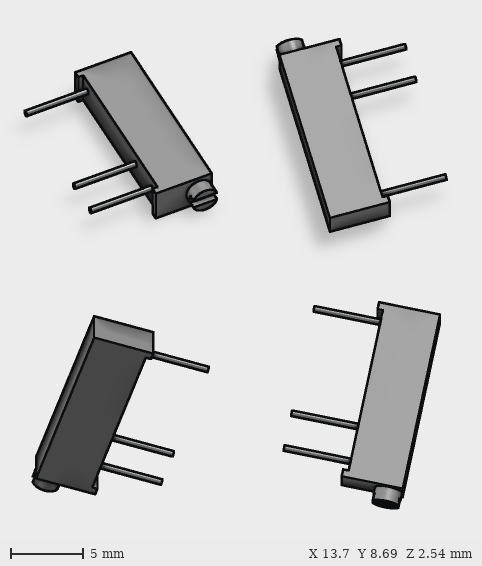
import cadquery as cq

total_length = 13.72
body_length = 12.7
body_height = 2.54
body_depth = 3.94
foot_width = 0.51
foot_height = 0.38

pin_diameter = 0.41
pin_tip_y = -4.75
pin_z = 1.52
pin_pitch = 2.54
first_pin_x = 1.14
pin_positions = [first_pin_x + pin_pitch * step for step in (0, 3, 4)]

screw_diameter = 1.93
screw_inset = 1.0
screw_axis_y = body_depth - screw_inset
screw_length = total_length - body_length
slot_width = 0.65
slot_depth = screw_length / 2

mid_z = body_height / 2


def make_housing():
    """Block with a full-height foot at each end of its -Y face."""
    housing = cq.Workplane("XY").box(body_length, body_depth, body_height, centered=False)
    for foot_x in (0, body_length - foot_width):
        foot = (
            cq.Workplane("XY")
            .box(foot_width, foot_height, body_height, centered=False)
            .translate((foot_x, -foot_height, 0))
        )
        housing = housing.union(foot)
    return housing


def make_pins():
    """Round pins running from the -Y face to the pin tips."""
    return (
        cq.Workplane("XZ")
        .pushPoints([(pin_x, pin_z) for pin_x in pin_positions])
        .circle(pin_diameter / 2)
        .extrude(-pin_tip_y)
    )


def make_screw():
    """Round screw head with a driver slot running along Y."""
    head = (
        cq.Workplane("YZ", origin=(body_length, screw_axis_y, mid_z))
        .circle(screw_diameter / 2)
        .extrude(screw_length)
    )
    slot = cq.Workplane("XY").box(slot_depth, screw_diameter, slot_width).translate(
        (total_length - slot_depth / 2, screw_axis_y, mid_z)
    )
    return head.cut(slot)


result = make_housing().union(make_pins()).union(make_screw())